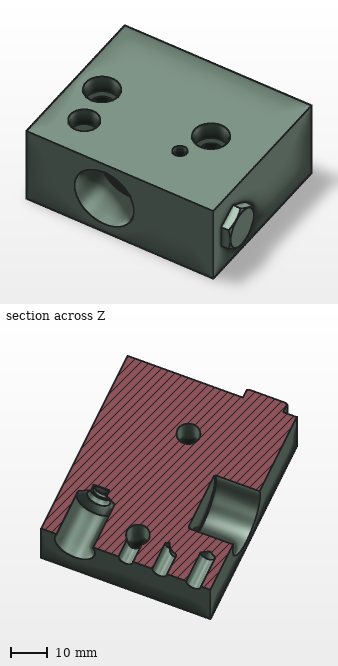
import cadquery as cq
import math

LENGTH = 60.0
WIDTH = 50.0
HEIGHT = 25.0
MID_HEIGHT = HEIGHT / 2
DRILL_POINT_ANGLE = 118.0

MOUNT_XS = (8.5, 43.5)
MOUNT_Y = WIDTH / 2
MOUNT_DIAMETER = 6.4
MOUNT_BORE_DIAMETER = 10.4
MOUNT_BORE_DEPTH = 5.5

CORE_X, CORE_Y = 11.0, 12.0
CORE_HOLE_DEPTH = 5.5
CORE_DIAMETER = 8.8

PIN_X, PIN_Y = 39.5, 15.5
PIN_DIAMETER = 4.2
PIN_DEPTH = 6.0

BORE_X = 25.0
BORE_DIAMETER = 19.0
BORE_DEPTH = 13.0
BORE_STEP_DIAMETER = 18.4
BORE_STEP_DEPTH = 0.3

PORT_Y = 40.0
PORT_DIAMETER = 11.8
PORT_DEPTH = 15.0
PORT_NECK_DIAMETER = 6.8
PORT_NECK_DEPTH = 2.0
PORT_RECESS_DIAMETER = 5.0
PORT_RECESS_DEPTH = 1.0

DRILLING_Z = 15.0
DRILLING_DIAMETER = 4.2
DRILLINGS = ((25.0, MOUNT_XS[0]), (15.0, 9.0), (5.0, 10.0))

HEX_SIDES = 6
HEX_Y = 10.0
HEX_ACROSS_FLATS = 12.0
HEX_HEIGHT = 3.0
HEX_CORNER_CUT = 1.05
HEX_CORNER_ANGLE = 30.0


def cylinder(diameter, length, start, direction):
    solid = cq.Solid.makeCylinder(diameter / 2, length, cq.Vector(*start), cq.Vector(*direction))
    return cq.Workplane(solid)


def down_hole(x, y, diameter, depth):
    return cylinder(diameter, depth, (x, y, HEIGHT), (0, 0, -1))


def cone_depth(large_diameter, small_diameter=0.0):
    """Length of a drill-point cone between two diameters."""
    return (large_diameter - small_diameter) / 2 / math.tan(math.radians(DRILL_POINT_ANGLE / 2))


def mounting_hole(x):
    through = down_hole(x, MOUNT_Y, MOUNT_DIAMETER, HEIGHT)
    return through.union(down_hole(x, MOUNT_Y, MOUNT_BORE_DIAMETER, MOUNT_BORE_DEPTH))


def core():
    """Solid cylinder from the bottom face up to the floor of the hole above it."""
    return cylinder(CORE_DIAMETER, HEIGHT - CORE_HOLE_DEPTH, (CORE_X, CORE_Y, 0), (0, 0, 1))


def front_bore():
    into_block = (0, 1, 0)
    main = cylinder(BORE_DIAMETER, BORE_DEPTH, (BORE_X, 0, MID_HEIGHT), into_block)
    full_depth = BORE_DEPTH + BORE_STEP_DEPTH
    return main.union(cylinder(BORE_STEP_DIAMETER, full_depth, (BORE_X, 0, MID_HEIGHT), into_block))


def left_hole(y, z, profile):
    """Revolve a (depth, radius) half-section about an X axis entering the left face."""
    return (
        cq.Workplane("XY", origin=(0, y, z))
        .polyline(profile)
        .close()
        .revolve(360, (0, 0, 0), (1, 0, 0))
    )


def left_port():
    neck_start = PORT_DEPTH + cone_depth(PORT_DIAMETER, PORT_NECK_DIAMETER)
    neck_end = neck_start + PORT_NECK_DEPTH
    recess_end = neck_end + PORT_RECESS_DEPTH
    profile = [
        (0, 0),
        (0, PORT_DIAMETER / 2),
        (PORT_DEPTH, PORT_DIAMETER / 2),
        (neck_start, PORT_NECK_DIAMETER / 2),
        (neck_end, PORT_NECK_DIAMETER / 2),
        (neck_end, PORT_RECESS_DIAMETER / 2),
        (recess_end, PORT_RECESS_DIAMETER / 2),
        (recess_end, 0),
    ]
    return left_hole(PORT_Y, MID_HEIGHT, profile)


def drilling(y, depth):
    radius = DRILLING_DIAMETER / 2
    profile = [(0, 0), (0, radius), (depth, radius), (depth + cone_depth(DRILLING_DIAMETER), 0)]
    return left_hole(y, DRILLING_Z, profile)


def hex_plug():
    """Hexagon with a corner pointing up, its outer corners rounded off by a cone."""
    corner_radius = HEX_ACROSS_FLATS / math.sqrt(3)
    corners = []
    for index in range(HEX_SIDES):
        angle = math.radians(90 + 360 / HEX_SIDES * index)
        corners.append((corner_radius * math.cos(angle), corner_radius * math.sin(angle)))
    origin = (LENGTH, HEX_Y, MID_HEIGHT)
    head = cq.Workplane("YZ", origin=origin).polyline(corners).close().extrude(HEX_HEIGHT)
    envelope = cq.Workplane("YZ", origin=origin).circle(corner_radius).extrude(HEX_HEIGHT)
    corner_drop = HEX_CORNER_CUT * math.tan(math.radians(HEX_CORNER_ANGLE))
    envelope = envelope.faces(">X").chamfer(corner_drop, HEX_CORNER_CUT)
    return head.intersect(envelope)


result = cq.Workplane("XY").box(LENGTH, WIDTH, HEIGHT, centered=False)
for mount_x in MOUNT_XS:
    result = result.cut(mounting_hole(mount_x))
result = result.cut(down_hole(CORE_X, CORE_Y, CORE_DIAMETER, CORE_HOLE_DEPTH))
result = result.cut(down_hole(PIN_X, PIN_Y, PIN_DIAMETER, PIN_DEPTH))
result = result.cut(front_bore())
result = result.cut(left_port())
for drilling_y, drilling_depth in DRILLINGS:
    result = result.cut(drilling(drilling_y, drilling_depth))
result = result.union(core())
result = result.union(hex_plug())